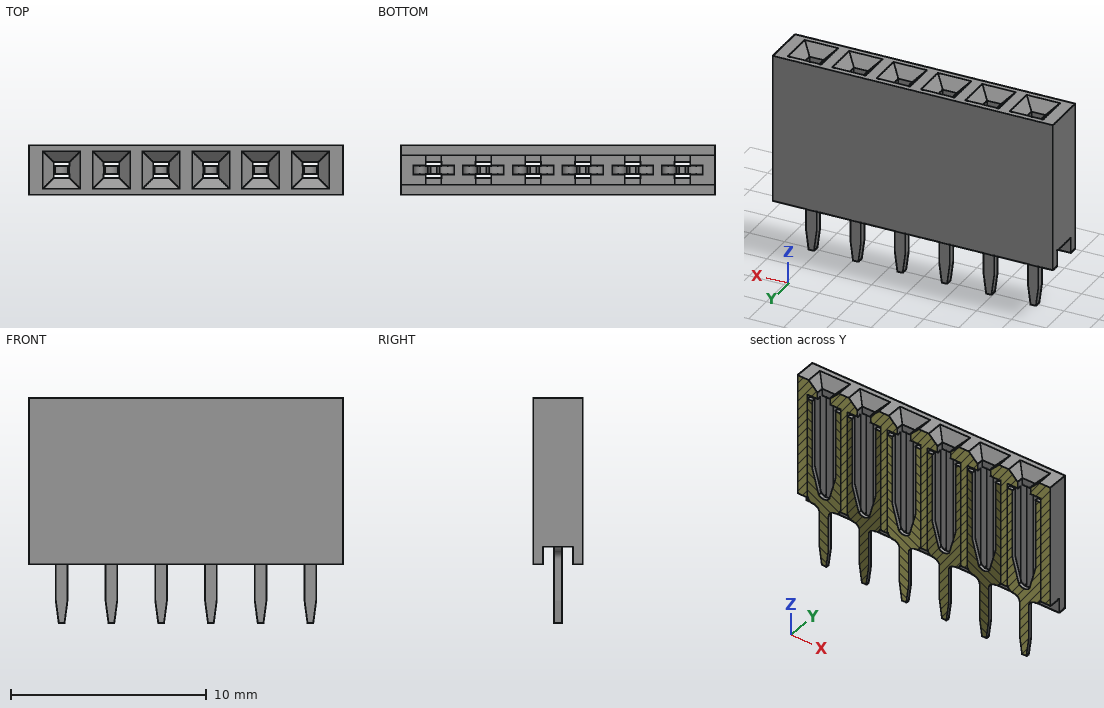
import cadquery as cq
import math


contact_count = 6
housing_length = 16.04
end_margin = 1.67
pitch = (housing_length - 2 * end_margin) / (contact_count - 1)
housing_width = 2.53
housing_height = 8.5
channel_width = 1.5
channel_height = 0.9

funnel_top = 1.91
hole_side = 0.8
funnel_depth = 0.56
hole_depth = 0.43
cavity_top = housing_height - funnel_depth - hole_depth

tail_width = 0.61
tail_length = 3.0
tip_width = 0.3
tip_length = 1.15
contact_thickness = 0.42
shoulder_radius = 0.37
shoulder_bottom = 0.65
fork_bottom = 1.28
fork_radius = 0.42
throat_width = 0.64
fork_slope = math.radians(15)
arm_thickness = 0.32
arm_top_gap = 0.24
arm_top = cavity_top - arm_top_gap
fork_half_width = tail_width / 2 + 2 * shoulder_radius
slot_play = 0.08
slot_width = contact_thickness + slot_play

contact_places = [(i - (contact_count - 1) / 2) * pitch for i in range(contact_count)]


def block(length, width, bottom, top):
    """Box centred on the Z axis between two heights."""
    return cq.Workplane("XY").workplane(offset=bottom).rect(length, width).extrude(top - bottom)


def make_opening():
    """Funnel and hole, with crossing slots below that free the contact fork."""
    funnel = (
        cq.Workplane("XY").workplane(offset=housing_height)
        .rect(funnel_top, funnel_top)
        .workplane(offset=-funnel_depth)
        .rect(hole_side, hole_side)
        .loft(ruled=True)
    )
    hole = block(hole_side, hole_side, 0, housing_height - funnel_depth)
    cross_slot = block(hole_side, channel_width, 0, cavity_top)
    fork_slot = block(2 * fork_half_width, slot_width, 0, cavity_top)
    return funnel.union(hole).union(cross_slot).union(fork_slot)


def make_housing():
    """Block with a channel along its underside and one opening per contact."""
    body = block(housing_length, housing_width, 0, housing_height)
    body = body.cut(block(housing_length, channel_width, 0, channel_height))
    opening = make_opening()
    for x in contact_places:
        body = body.cut(opening.translate((x, 0, 0)))
    return body


def make_contact(x):
    """Flat contact, one outline extruded through its thickness, at position x in the row."""
    tail = tail_width / 2
    tip = tip_width / 2
    diagonal = shoulder_radius * math.sqrt(0.5)
    bend_x = tail + shoulder_radius
    fillet_z = shoulder_bottom - shoulder_radius
    corner_z = shoulder_bottom + shoulder_radius

    throat_x = throat_width / 2
    throat_z = fork_bottom + fork_radius - math.sqrt(fork_radius**2 - throat_x**2)
    arm_x = fork_half_width - arm_thickness
    arm_z = throat_z + (arm_x - throat_x) / math.tan(fork_slope)

    outline = (
        cq.Workplane("XZ", origin=(x, contact_thickness / 2, 0))
        .moveTo(-tip, -tail_length)
        .lineTo(tip, -tail_length)
        .lineTo(tail, tip_length - tail_length)
        .lineTo(tail, fillet_z)
        .threePointArc((bend_x - diagonal, fillet_z + diagonal), (bend_x, shoulder_bottom))
        .threePointArc((bend_x + diagonal, corner_z - diagonal), (fork_half_width, corner_z))
        .lineTo(fork_half_width, arm_top)
        .lineTo(arm_x, arm_top)
        .lineTo(arm_x, arm_z)
        .lineTo(throat_x, throat_z)
        .threePointArc((0, fork_bottom), (-throat_x, throat_z))
        .lineTo(-arm_x, arm_z)
        .lineTo(-arm_x, arm_top)
        .lineTo(-fork_half_width, arm_top)
        .lineTo(-fork_half_width, corner_z)
        .threePointArc((-bend_x - diagonal, corner_z - diagonal), (-bend_x, shoulder_bottom))
        .threePointArc((diagonal - bend_x, fillet_z + diagonal), (-tail, fillet_z))
        .lineTo(-tail, tip_length - tail_length)
        .close()
    )
    return outline.extrude(contact_thickness)


housing = make_housing()
contacts = [make_contact(x) for x in contact_places]
result = cq.Compound.makeCompound([housing.val(), *[contact.val() for contact in contacts]])